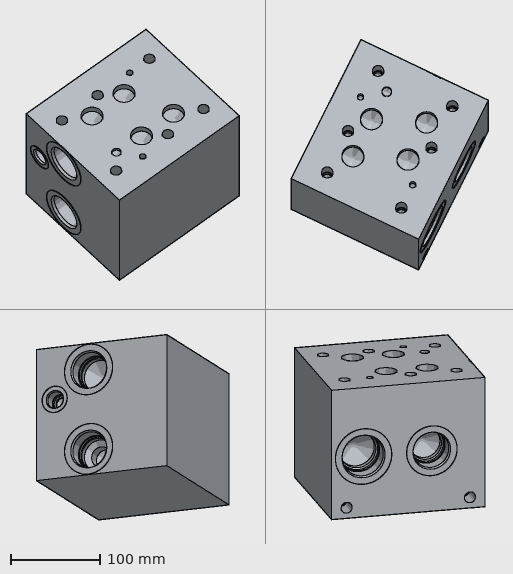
import cadquery as cq
import math

LENGTH_X = 158.8
LENGTH_Y = 177.8
HEIGHT_Z = 152.4

POINT_SLOPE = math.tan(math.radians(118 / 2))

SPOT_FACE_DEPTH = 0.7
MEDIUM_PORT = {
    "spot_face": 58.5, "mouth": 43.5, "thread": 41.2, "tap_bore": 39.3,
    "cone_depth": 3.4, "thread_depth": 19.0, "tap_depth": 23.3,
}
LARGE_PORT = {
    "spot_face": 65.3, "mouth": 50.0, "thread": 47.7, "tap_bore": 45.5,
    "cone_depth": 3.4, "thread_depth": 19.0, "tap_depth": 23.3,
}
SMALL_PORT = {
    "spot_face": 30.4, "mouth": 20.8, "thread": 19.0, "tap_bore": 17.5,
    "cone_depth": 2.5, "thread_depth": 15.1, "tap_depth": 18.7,
}

PORT_DRILL_DEPTH = 32.0
SMALL_PORT_DRILL_DEPTH = 23.1
AB_DRILL = 37.0
P_DRILL = 35.7
T_DRILL = 41.8
Y_DRILL = 14.2
A_PASSAGE = 23.1
A_PASSAGE_DEPTH = 49.8

AB_X = 63.5
A_Z = 30.0
B_Z = HEIGHT_Z - A_Z
Y_PORT_X = 22.2
Y_PORT_Z = 92.1

PT_Z = 71.1
P_Y = 61.5
T_Y = 140.6

BOLT_THREAD = 12.6
BOLT_TAP = 10.7
BOLT_THREAD_DEPTH = 24.9
BOLT_TAP_DEPTH = 32.0
SIDE_BOLT_Y = 17.5
SIDE_BOLT_Z = 12.6

TOP_BOLT_X = 33.2
TOP_BOLT_Y = 24.0
MID_BOLT_Y = 77.0
NEAR_BOLT_X, FAR_BOLT_X = TOP_BOLT_X, LENGTH_X - TOP_BOLT_X
TOP_BOLTS = [(x, y) for x in (NEAR_BOLT_X, FAR_BOLT_X) for y in (TOP_BOLT_Y, LENGTH_Y - TOP_BOLT_Y)]
TOP_BOLTS += [(NEAR_BOLT_X, MID_BOLT_Y), (FAR_BOLT_X, LENGTH_Y - MID_BOLT_Y)]

VALVE_PORT = 24.5
VALVE_PORT_DEPTH = 8.0
VALVE_PORT_X = 50.9
VALVE_PORT_YS = (53.3, 100.8)
VALVE_PORTS = [(VALVE_PORT_X, y) for y in VALVE_PORT_YS]
VALVE_PORTS += [(LENGTH_X - VALVE_PORT_X, LENGTH_Y - y) for y in VALVE_PORT_YS]

LOCATING_PIN = 7.1
LOCATING_PIN_DEPTH = 8.9
LOCATING_PINS = [(33.5, 124.5), (130.1, 59.4)]

DRAIN = 10.7
DRAIN_DEPTH = 3.5
DRAIN_X = 106.5
DRAIN_Y = 41.0


def front_face(x, z):
    """Hole position on the -Y face; the normal points into the block."""
    return cq.Plane(origin=(x, 0, z), xDir=(1, 0, 0), normal=(0, 1, 0))


def left_face(y, z):
    """Hole position on the -X face; the normal points into the block."""
    return cq.Plane(origin=(0, y, z), xDir=(0, 1, 0), normal=(1, 0, 0))


def top_face(x, y):
    """Hole position on the +Z face; the normal points into the block."""
    return cq.Plane(origin=(x, y, HEIGHT_Z), xDir=(1, 0, 0), normal=(0, 0, -1))


def drilling(position, stages):
    """Cutter for a stepped hole through (diameter, depth) stages, ending in a drill point."""
    last_diameter, last_depth = stages[-1]
    tip_depth = last_depth + last_diameter / 2 / POINT_SLOPE
    outline = [(0, 0)] + [(diameter / 2, depth) for diameter, depth in stages] + [(0, tip_depth)]
    axial = cq.Plane(origin=position.origin, xDir=position.xDir, normal=-position.yDir)
    return cq.Workplane(axial).polyline(outline).close().revolve(360, (0, 0, 0), (0, 1, 0))


def plain_hole(position, diameter, depth):
    return drilling(position, [(diameter, 0), (diameter, depth)])


def tapped_hole(position):
    return drilling(position, [
        (BOLT_THREAD, 0),
        (BOLT_THREAD, BOLT_THREAD_DEPTH),
        (BOLT_TAP, BOLT_THREAD_DEPTH),
        (BOLT_TAP, BOLT_TAP_DEPTH),
    ])


def threaded_port(position, port, drill, drill_depth):
    cone_end = SPOT_FACE_DEPTH + port["cone_depth"]
    thread_end = SPOT_FACE_DEPTH + port["thread_depth"]
    tap_end = SPOT_FACE_DEPTH + port["tap_depth"]
    drill_start = tap_end + (port["tap_bore"] - drill) / 2 / POINT_SLOPE
    return drilling(position, [
        (port["spot_face"], 0),
        (port["spot_face"], SPOT_FACE_DEPTH),
        (port["mouth"], SPOT_FACE_DEPTH),
        (port["thread"], cone_end),
        (port["thread"], thread_end),
        (port["tap_bore"], thread_end),
        (port["tap_bore"], tap_end),
        (drill, drill_start),
        (drill, drill_depth),
    ])


port_a = front_face(AB_X, A_Z)
port_b = front_face(AB_X, B_Z)
port_y = front_face(Y_PORT_X, Y_PORT_Z)
port_p = left_face(P_Y, PT_Z)
port_t = left_face(T_Y, PT_Z)

cutters = [
    threaded_port(port_a, MEDIUM_PORT, AB_DRILL, PORT_DRILL_DEPTH),
    plain_hole(port_a, A_PASSAGE, A_PASSAGE_DEPTH),
    threaded_port(port_b, MEDIUM_PORT, AB_DRILL, PORT_DRILL_DEPTH),
    threaded_port(port_y, SMALL_PORT, Y_DRILL, SMALL_PORT_DRILL_DEPTH),
    threaded_port(port_p, MEDIUM_PORT, P_DRILL, PORT_DRILL_DEPTH),
    threaded_port(port_t, LARGE_PORT, T_DRILL, PORT_DRILL_DEPTH),
    plain_hole(top_face(DRAIN_X, DRAIN_Y), DRAIN, DRAIN_DEPTH),
]
cutters += [tapped_hole(left_face(y, SIDE_BOLT_Z)) for y in (SIDE_BOLT_Y, LENGTH_Y - SIDE_BOLT_Y)]
cutters += [tapped_hole(top_face(x, y)) for x, y in TOP_BOLTS]
cutters += [plain_hole(top_face(x, y), VALVE_PORT, VALVE_PORT_DEPTH) for x, y in VALVE_PORTS]
cutters += [plain_hole(top_face(x, y), LOCATING_PIN, LOCATING_PIN_DEPTH) for x, y in LOCATING_PINS]

result = cq.Workplane("XY").box(LENGTH_X, LENGTH_Y, HEIGHT_Z, centered=False)
for cutter in cutters:
    result = result.cut(cutter)